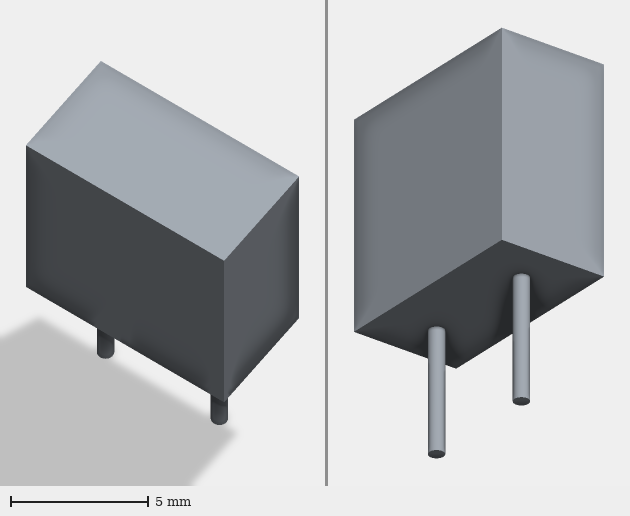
import cadquery as cq

total_height = 13.87
housing_length = 8.89
housing_width = 4.67
housing_height = 8.77

lead_diameter = 0.64
lead_spacing = 5.1
lead_length = total_height - housing_height


def make_housing():
    """Plain rectangular housing standing on the plane Z = 0."""
    return cq.Workplane("XY").box(
        housing_length, housing_width, housing_height, centered=(True, True, False)
    )


def make_lead(x):
    """Round lead hanging from the underside of the housing."""
    return cq.Workplane("XY").center(x, 0).circle(lead_diameter / 2).extrude(-lead_length)


housing = make_housing()
leads = [make_lead(side * lead_spacing / 2) for side in (-1, 1)]

result = cq.Compound.makeCompound([housing.val(), *[lead.val() for lead in leads]])